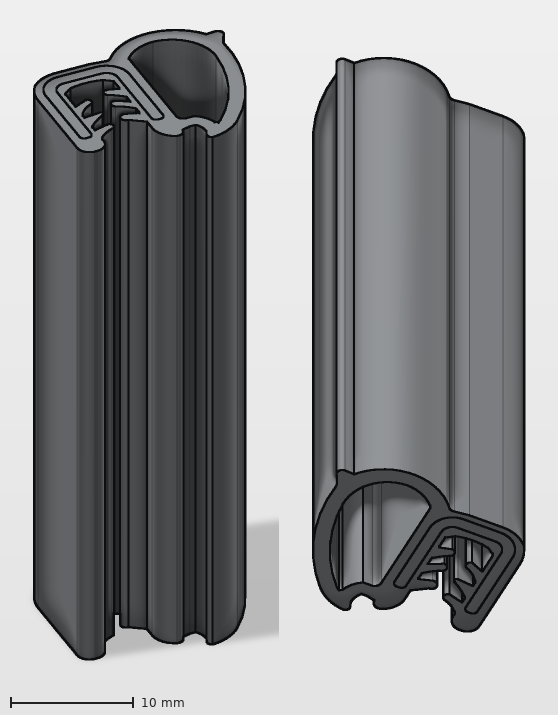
import cadquery as cq

LENGTH = 50.0

CORNER_SIZE = 3.0
HEEL_POINT = (1.05, 0.6)
LOWER_LEG = 2.4
LOWER_END_X = 11.65
LOWER_END_RADIUS = 1.1
WEB_TOP = 6.05
CAVITY_TOP = 6.75
CAVITY_CORNER_X = 3.05
CAVITY_SIDE_X = 2.55
CAVITY_BACK_X = 2.35
CAVITY_CORNER_RISE = 0.7

BULB_LEFT_X = -2.05
BULB_MID_Y = 12.0
BULB_FLOOR = 9.25
BEAD_RADIUS = 0.5
TOP_Y = 17.8
RIGHT_X = 13.8

CARRIER_X = 0.6
CARRIER_BOTTOM = 0.85
CARRIER_TOP = 8.35
CARRIER_END_X = 9.6
CARRIER_THICKNESS = 1.05
CARRIER_BEND_RADIUS = 2.05
CARRIER_END_RADIUS = 0.4

UPPER_FINS = [
    [(4.25, CAVITY_TOP), (3.95, 5.65), (4.25, 5.3), (4.65, 5.45), (5.0, 6.05), (5.55, CAVITY_TOP)],
    [(6.3, CAVITY_TOP), (5.65, 5.55), (6.05, 5.15), (6.45, 5.35), (6.85, 6.1), (7.4, CAVITY_TOP)],
    [(8.1, CAVITY_TOP), (7.75, 5.6), (8.0, 5.05), (8.65, 5.5), (9.1, 6.15), (9.5, CAVITY_TOP)],
]
LOWER_FINS = [
    [(5.1, LOWER_LEG), (4.55, 3.6), (4.85, 3.9), (5.25, 3.8), (5.75, 2.95), (6.4, LOWER_LEG)],
    [(6.85, LOWER_LEG), (6.7, 3.8), (6.9, 4.05), (7.15, 3.85), (7.7, 3.05), (8.3, LOWER_LEG)],
    [(8.85, LOWER_LEG), (8.5, 3.7), (8.9, 4.05), (9.25, 3.75), (9.65, 2.95), (10.15, LOWER_LEG)],
]


def add_fins(outline, fins):
    """Continue an outline along one leg of the cavity, following each fin from front to back."""
    for front_root, tip_front, tip, tip_back, back_middle, back_root in fins:
        outline = (
            outline.lineTo(*front_root)
            .lineTo(*tip_front)
            .threePointArc(tip, tip_back)
            .threePointArc(back_middle, back_root)
        )
    return outline


def add_fins_reversed(outline, fins):
    """Continue an outline along one leg of the cavity, following each fin from back to front."""
    for front_root, tip_front, tip, tip_back, back_middle, back_root in reversed(fins):
        outline = (
            outline.lineTo(*back_root)
            .threePointArc(back_middle, tip_back)
            .threePointArc(tip, tip_front)
            .lineTo(*front_root)
        )
    return outline


def lower_leg_and_cavity():
    """Start the seal's outline: underside, lower leg, cavity with fins, upper leg's underside."""
    end_center_x = LOWER_END_X - LOWER_END_RADIUS
    side_bottom = LOWER_LEG + CAVITY_CORNER_RISE
    side_top = CAVITY_TOP - CAVITY_CORNER_RISE
    outline = (
        cq.Workplane("XY")
        .moveTo(CORNER_SIZE, 0)
        .lineTo(end_center_x, 0)
        .radiusArc((LOWER_END_X, LOWER_END_RADIUS), -LOWER_END_RADIUS)
        .lineTo(LOWER_END_X, LOWER_LEG - LOWER_END_RADIUS)
        .radiusArc((end_center_x, LOWER_LEG), -LOWER_END_RADIUS)
    )
    outline = add_fins_reversed(outline, LOWER_FINS)
    outline = (
        outline.lineTo(CAVITY_CORNER_X, LOWER_LEG)
        .lineTo(CAVITY_SIDE_X, side_bottom)
        .threePointArc((CAVITY_BACK_X, (side_bottom + side_top) / 2), (CAVITY_SIDE_X, side_top))
        .lineTo(CAVITY_CORNER_X, CAVITY_TOP)
    )
    return add_fins(outline, UPPER_FINS)


def seal_outline():
    """Close the seal's outline: nose, notch, bulb, bead on top and web."""
    heel_x, heel_y = HEEL_POINT
    underside_radius = ((CORNER_SIZE - heel_x) ** 2 + heel_y**2) / (2 * heel_y)
    return (
        lower_leg_and_cavity()
        .lineTo(10.45, CAVITY_TOP)
        .threePointArc((11.7, 7.15), (12.4, 8.1))
        .threePointArc((12.3, 8.65), (11.8, 8.9))
        .lineTo(11.6, 9.65)
        .lineTo(11.6, 10.15)
        .threePointArc((12.1, 10.45), (12.8, 10.55))
        .lineTo(13.2, 10.4)
        .threePointArc((13.65, 10.45), (RIGHT_X, 10.65))
        .threePointArc((13.4, 12.2), (12.45, 13.5))
        .threePointArc((7.5, 16.45), (1.85, 17.2))
        .threePointArc((1.25, 17.4), (0.85, 17.65))
        .threePointArc((BEAD_RADIUS, TOP_Y), (0, TOP_Y - BEAD_RADIUS))
        .lineTo(0.05, 16.45)
        .threePointArc((BULB_LEFT_X, BULB_MID_Y), (-0.55, 8.35))
        .lineTo(0.05, 7.8)
        .threePointArc((0.15, 7.6), (0.15, 7.3))
        .lineTo(0, WEB_TOP)
        .lineTo(0, CORNER_SIZE)
        .tangentArcPoint(HEEL_POINT, relative=False)
        .radiusArc((CORNER_SIZE, 0), -underside_radius)
        .close()
    )


def bulb_hollow():
    """Air space inside the bulb, running the full length."""
    return (
        cq.Workplane("XY")
        .moveTo(0.6, BULB_FLOOR)
        .lineTo(9.75, BULB_FLOOR)
        .threePointArc((10.2, 9.4), (10.4, 9.75))
        .lineTo(10.4, 10.6)
        .threePointArc((10.95, 11.25), (11.85, 11.75))
        .lineTo(12.05, 12.0)
        .lineTo(11.8, 12.3)
        .threePointArc((7.7, 14.9), (3.3, 15.85))
        .threePointArc((0.55, 14.85), (-0.75, 12.05))
        .threePointArc((-0.35, 10.45), (0.6, BULB_FLOOR))
        .close()
        .extrude(LENGTH)
    )


def make_carrier():
    """U-shaped metal strip with rounded bends and rounded ends."""
    width = CARRIER_END_X - CARRIER_X
    height = CARRIER_TOP - CARRIER_BOTTOM
    outer = (
        cq.Workplane("XY")
        .box(width, height, LENGTH, centered=False)
        .edges("|Z and <X")
        .fillet(CARRIER_BEND_RADIUS)
    )
    gap = (
        cq.Workplane("XY")
        .box(width, height - 2 * CARRIER_THICKNESS, LENGTH, centered=False)
        .edges("|Z and <X")
        .fillet(CARRIER_BEND_RADIUS - CARRIER_THICKNESS)
        .translate((CARRIER_THICKNESS, CARRIER_THICKNESS, 0))
    )
    strip = outer.cut(gap).faces(">X").edges("|Z").fillet(CARRIER_END_RADIUS)
    return strip.translate((CARRIER_X, CARRIER_BOTTOM, 0))


def make_seal(carrier):
    """Rubber profile with the hollow bulb and a matching slot for the carrier."""
    return seal_outline().extrude(LENGTH).cut(bulb_hollow()).cut(carrier)


carrier = make_carrier()
seal = make_seal(carrier)

result = cq.Compound.makeCompound([seal.val(), carrier.val()])